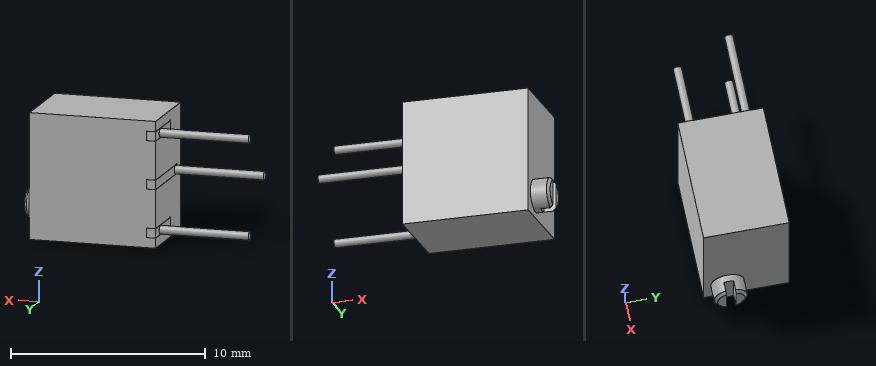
import cadquery as cq

HOUSING_LENGTH = 6.78
HOUSING_WIDTH = 4.5
HOUSING_HEIGHT = 6.71
HALF_WIDTH = HOUSING_WIDTH / 2
HALF_HEIGHT = HOUSING_HEIGHT / 2

HEAD_DIAMETER = 1.74
HEAD_LENGTH = 1.02
HEAD_CHAMFER = 0.15
HEAD_Y = -HALF_WIDTH + 1.25
HEAD_Z = -HALF_HEIGHT + 1.21
DRIVER_SLOT_WIDTH = 0.5
DRIVER_SLOT_DEPTH = 0.65

PIN_DIAMETER = 0.46
PIN_LENGTH = 4.78
PIN_PITCH = 2.56
OUTER_PIN_Y = HALF_WIDTH - 0.87
MIDDLE_PIN_Y = OUTER_PIN_Y - 2.69

STRIP_WIDTH = 0.5
STRIP_THICKNESS = 0.5
OUTER_STRIP_LENGTH = 2.69
MIDDLE_STRIP_LENGTH = HALF_WIDTH - MIDDLE_PIN_Y + PIN_DIAMETER / 2

TERMINALS = [
    (-PIN_PITCH, OUTER_PIN_Y, OUTER_STRIP_LENGTH),
    (0, MIDDLE_PIN_Y, MIDDLE_STRIP_LENGTH),
    (PIN_PITCH, OUTER_PIN_Y, OUTER_STRIP_LENGTH),
]


def make_strip(z, length):
    """Flat strip just inside the -X face, ending on the +Y face."""
    return (
        cq.Workplane("XY")
        .box(STRIP_THICKNESS, length, STRIP_WIDTH, centered=(False, False, True))
        .translate((0, HALF_WIDTH - length, z))
    )


def make_pin(y, z):
    """Round pin that butts on the outer face of its strip."""
    return (
        cq.Workplane("YZ", origin=(0, y, z))
        .circle(PIN_DIAMETER / 2)
        .extrude(-PIN_LENGTH)
    )


def make_screw_head():
    """Chamfered round head with a driver slot running along Z."""
    head = (
        cq.Workplane("YZ", origin=(HOUSING_LENGTH, HEAD_Y, HEAD_Z))
        .circle(HEAD_DIAMETER / 2)
        .extrude(HEAD_LENGTH)
        .faces(">X")
        .chamfer(HEAD_CHAMFER)
    )
    driver_slot = (
        cq.Workplane("XY")
        .box(DRIVER_SLOT_DEPTH, DRIVER_SLOT_WIDTH, HEAD_DIAMETER, centered=(False, True, True))
        .translate((HOUSING_LENGTH + HEAD_LENGTH - DRIVER_SLOT_DEPTH, HEAD_Y, HEAD_Z))
    )
    return head.cut(driver_slot)


def make_housing(strips):
    """Block with its screw head, recessed to take the strips."""
    housing = cq.Workplane("XY").box(
        HOUSING_LENGTH, HOUSING_WIDTH, HOUSING_HEIGHT, centered=(False, True, True)
    )
    for strip in strips:
        housing = housing.cut(strip)
    return housing.union(make_screw_head())


strips = [make_strip(z, strip_length) for z, pin_y, strip_length in TERMINALS]
pins = [make_pin(pin_y, z) for z, pin_y, strip_length in TERMINALS]
housing = make_housing(strips)

result = cq.Compound.makeCompound(
    [housing.val()] + [strip.val() for strip in strips] + [pin.val() for pin in pins]
)